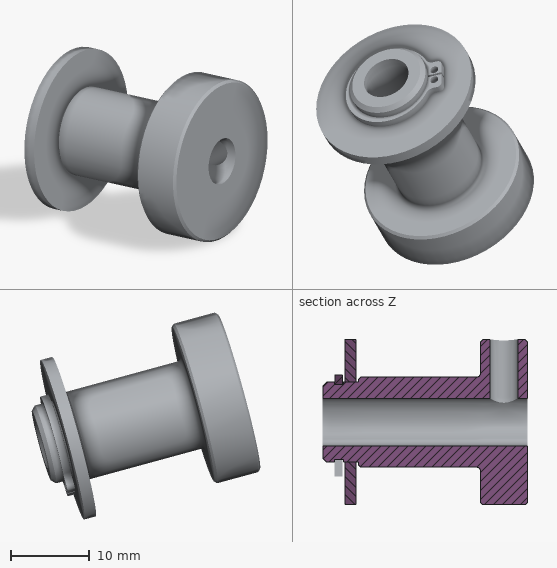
import cadquery as cq
import math


length = 26.0
head_diameter = 21.0
head_length = 6.0
head_chamfer = 0.3
shaft_diameter = 11.5
shaft_chamfer = 0.3
shoulder_x = 4.5
head_fillet = 0.5
spigot_diameter = 10.25
spigot_chamfer = 0.52
bore_diameter = 6.0
groove_x = 1.5
groove_width = 1.1
groove_diameter = 9.6
cross_hole_diameter = 3.5
head_x = length - head_length
cross_hole_x = head_x + head_length / 2

washer_diameter = head_diameter
washer_thickness = 1.5
washer_x = 2.75

ring_thickness = 1.0
ring_radius = 5.77
ring_offset = 0.25
lug_reach = 6.92
lug_half_height = 2.1
lug_corner_radius = 0.6
lug_root_fillet = 1.1
lug_gap = 0.29
lug_hole_diameter = 1.07
lug_hole_y = -5.93
lug_hole_spacing = 1.6


def cylinder(x, diameter, depth):
    return cq.Workplane("YZ").workplane(offset=x).circle(diameter / 2).extrude(depth)


def make_bushing():
    spigot = cylinder(0, spigot_diameter, shoulder_x).faces("<X").chamfer(spigot_chamfer)
    shaft = cylinder(shoulder_x, shaft_diameter, head_x - shoulder_x).faces("<X").chamfer(shaft_chamfer)
    head = cylinder(head_x, head_diameter, head_length).faces("<X or >X").chamfer(head_chamfer)
    body = spigot.union(shaft).union(head)

    reach = shaft_diameter / 2 + head_chamfer
    root_region = cq.selectors.BoxSelector(
        (head_x - head_chamfer, -reach, -reach), (head_x + head_chamfer, reach, reach), boundingbox=True)
    body = body.edges(root_region).edges("%CIRCLE").fillet(head_fillet)

    groove = cylinder(groove_x, spigot_diameter, groove_width).cut(
        cylinder(groove_x, groove_diameter, groove_width))
    bore = cylinder(0, bore_diameter, length)
    cross_hole = (
        cq.Workplane("XZ").center(cross_hole_x, 0).circle(cross_hole_diameter / 2).extrude(-head_diameter / 2)
    )
    return body.cut(groove).cut(bore).cut(cross_hole)


def make_washer():
    return cylinder(washer_x, washer_diameter, washer_thickness).cut(
        cylinder(washer_x, spigot_diameter, washer_thickness))


def make_retaining_ring():
    fillet_z = lug_half_height + lug_root_fillet
    centre_distance = ring_radius + lug_root_fillet
    fillet_y = ring_offset - math.sqrt(centre_distance**2 - fillet_z**2)
    rim_y = ring_offset + (fillet_y - ring_offset) * ring_radius / centre_distance
    rim_z = fillet_z * ring_radius / centre_distance
    half_sweep = math.atan2(rim_y - fillet_y, fillet_z - rim_z) / 2
    mid_y = fillet_y + lug_root_fillet * math.sin(half_sweep)
    mid_z = fillet_z - lug_root_fillet * math.cos(half_sweep)

    outline = (
        cq.Workplane("YZ").workplane(offset=groove_x)
        .moveTo(rim_y, rim_z)
        .threePointArc((ring_offset + ring_radius, 0), (rim_y, -rim_z))
        .threePointArc((mid_y, -mid_z), (fillet_y, -lug_half_height))
        .lineTo(-lug_reach, -lug_half_height)
        .lineTo(-lug_reach, lug_half_height)
        .lineTo(fillet_y, lug_half_height)
        .threePointArc((mid_y, mid_z), (rim_y, rim_z))
        .close()
    )
    ring = outline.extrude(ring_thickness).edges("|X and <Y").fillet(lug_corner_radius)
    ring = ring.cut(cylinder(groove_x, groove_diameter, ring_thickness))

    gap = cq.Workplane("XY").box(ring_thickness, lug_reach, lug_gap, centered=(False, False, True))
    ring = ring.cut(gap.translate((groove_x, -lug_reach, 0)))
    for side in (-1, 1):
        hole = cylinder(groove_x, lug_hole_diameter, ring_thickness)
        ring = ring.cut(hole.translate((0, lug_hole_y, side * lug_hole_spacing / 2)))
    return ring


bushing = make_bushing()
washer = make_washer()
retaining_ring = make_retaining_ring()

result = cq.Compound.makeCompound([bushing.val(), washer.val(), retaining_ring.val()])